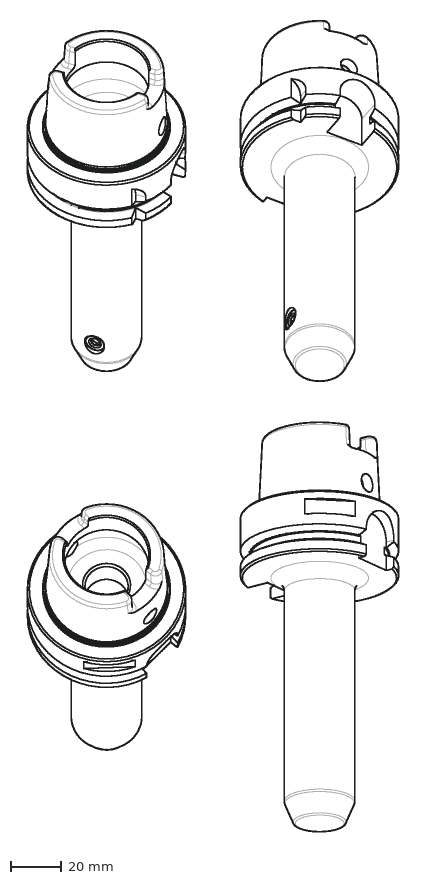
import cadquery as cq
import math


total_length = 162
shank_height = 32.0
stem_end = shank_height - total_length
flange_radius = 63.0 / 2

margin = 0.2

taper_base_radius = 24.3
taper_top_radius = 22.8
rim_round = 1.3
relief_radius = 24.0
relief_low = 0.3
relief_high = 2.1
relief_chamfer = 0.3
face_recess_radius = 25.5
face_recess_depth = 0.5

flange_thickness = 26
flange_chamfer = 0.8
groove_radius = 27.5
groove_wall_radius = 28.2
groove_top = -16.2
groove_bottom = -19.6
groove_bevel = 1.6
groove_fillet = 0.3

stem_radius = 14.1
stem_fillet = 5.3
nose_height = 8.9
nose_radius = 10.4
nose_blend = 2.5
nose_edge = 1.0

bore_radius = 16.8
bore_mouth_chamfer = 0.6
clamp_radius = 19.5
clamp_depth = 12.5
bore_depth = 28.5
bore_floor_radius = 15.7
center_hole_radius = 8.6
center_hole_chamfer = 1.0
center_hole_depth = 13
cross_hole_radius = 3.7
cross_hole_height = 9.0

drive_slot_width = 12.3
drive_slot_corner_round = 2.8
drive_slot_floor_fillet = 1.5
deep_slot_depth = 9.9
shallow_slot_depth = 6.0

left_slot_width = 18.1
left_slot_floor = 26.4
left_slot_apex = -4.7
right_slot_width = 15.9
right_slot_floor = 20.0
right_slot_apex = -4.0
corner_slot_wall = 20.1

patch_distance = 29.8
patch_height = 6.3
patch_center = -7.0
patch_angle = 135

screw_height = stem_end + 18.3
screw_hole_radius = 3.9
screw_sink_radius = 4.9
screw_face_depth = 1.1
socket_mouth_radius = 2.6
socket_flats = 3.4
socket_depth = 2.0


def turned_body():
    """Revolve the shank and flange outline together with the stem."""
    groove_edge_top = groove_top + groove_bevel
    groove_edge_bottom = groove_bottom - groove_bevel
    stem_top = -flange_thickness - stem_fillet
    fillet_offset = stem_fillet * (1 - math.sqrt(0.5))
    outline = (
        cq.Workplane("XZ")
        .moveTo(0, shank_height)
        .lineTo(taper_top_radius, shank_height)
        .lineTo(taper_base_radius, relief_high)
        .lineTo(relief_radius, relief_high - relief_chamfer)
        .lineTo(relief_radius, relief_low + relief_chamfer)
        .lineTo(taper_base_radius, relief_low)
        .lineTo(taper_base_radius, -face_recess_depth)
        .lineTo(face_recess_radius - face_recess_depth, -face_recess_depth)
        .lineTo(face_recess_radius, 0)
        .lineTo(flange_radius - flange_chamfer, 0)
        .lineTo(flange_radius, -flange_chamfer)
        .lineTo(flange_radius, groove_edge_top)
        .lineTo(groove_wall_radius, groove_top)
        .lineTo(groove_radius, groove_top)
        .lineTo(groove_radius, groove_bottom)
        .lineTo(groove_wall_radius, groove_bottom)
        .lineTo(flange_radius, groove_edge_bottom)
        .lineTo(flange_radius, -flange_thickness + flange_chamfer)
        .lineTo(flange_radius - flange_chamfer, -flange_thickness)
        .lineTo(stem_radius + stem_fillet, -flange_thickness)
        .threePointArc(
            (stem_radius + fillet_offset, -flange_thickness - fillet_offset),
            (stem_radius, stem_top),
        )
        .lineTo(stem_radius, stem_end + nose_height)
        .lineTo(nose_radius, stem_end)
        .lineTo(0, stem_end)
        .close()
    )
    body = outline.revolve(360, (0, 0, 0), (0, 1, 0))
    groove_corners = cq.selectors.BoxSelector(
        (-groove_radius - margin, -groove_radius - margin, groove_bottom - margin),
        (groove_radius + margin, groove_radius + margin, groove_top + margin),
    )
    body = body.edges(groove_corners).fillet(groove_fillet)
    body = body.faces("<Z").edges().fillet(nose_edge)
    nose_start = cq.selectors.BoxSelector(
        (-flange_radius, -flange_radius, stem_end + nose_height - margin),
        (flange_radius, flange_radius, stem_end + nose_height + margin),
    )
    return body.edges(nose_start).fillet(nose_blend)


def shank_bore():
    """Stepped bore with a wider clamping chamber and a blind center hole."""
    chamber_top = shank_height - clamp_depth
    floor = shank_height - bore_depth
    corner = clamp_radius - bore_floor_radius
    corner_offset = corner * (1 - math.sqrt(0.5))
    mouth_radius = bore_radius + bore_mouth_chamfer
    sink_radius = center_hole_radius + center_hole_chamfer
    return (
        cq.Workplane("XZ")
        .moveTo(0, shank_height)
        .lineTo(mouth_radius, shank_height)
        .lineTo(bore_radius, shank_height - bore_mouth_chamfer)
        .lineTo(bore_radius, chamber_top)
        .lineTo(clamp_radius, chamber_top)
        .lineTo(clamp_radius, floor + corner)
        .threePointArc(
            (clamp_radius - corner_offset, floor + corner_offset),
            (bore_floor_radius, floor),
        )
        .lineTo(sink_radius, floor)
        .lineTo(center_hole_radius, floor - center_hole_chamfer)
        .lineTo(center_hole_radius, floor - center_hole_depth)
        .lineTo(0, floor - center_hole_depth)
        .close()
        .revolve(360, (0, 0, 0), (0, 1, 0))
    )


def cross_hole():
    """Round hole through both walls of the shank along X."""
    return (
        cq.Workplane("YZ")
        .center(0, cross_hole_height)
        .circle(cross_hole_radius)
        .extrude(flange_radius, both=True)
    )


def add_drive_slot(body, side, depth):
    """Cut a rim slot on the +X (side 1) or -X (side -1) half and round its corners and floor."""
    half_width = drive_slot_width / 2
    floor = shank_height - depth
    slot = cq.Workplane("XY").box(flange_radius, drive_slot_width, depth, centered=(True, True, False))
    body = body.cut(slot.translate((side * flange_radius / 2, 0, floor)))

    outer_corners = cq.selectors.BoxSelector(
        (side * (taper_top_radius - drive_slot_corner_round), -half_width - margin, floor + margin),
        (side * flange_radius, half_width + margin, shank_height - margin),
    )
    body = body.edges(outer_corners).fillet(drive_slot_corner_round)

    floor_sides = cq.selectors.BoxSelector(
        (side * margin, -half_width - margin, floor - margin),
        (side * taper_top_radius, half_width + margin, floor + margin),
    )
    return body.edges(floor_sides).edges("|X").fillet(drive_slot_floor_fillet)


def flange_slot(width, floor, apex, center_y=0):
    """Round-topped slot in the +X side of the flange, open at the bottom."""
    half_width = width / 2
    arc_center = apex - half_width
    return (
        cq.Workplane("YZ", origin=(floor, center_y, 0))
        .moveTo(-half_width, -flange_thickness)
        .lineTo(-half_width, arc_center)
        .threePointArc((0, apex), (half_width, arc_center))
        .lineTo(half_width, -flange_thickness)
        .close()
        .extrude(flange_radius)
    )


def rim_patch():
    """Block that planes a rectangular flat on the flange rim."""
    block = cq.Workplane("XY").box(
        flange_radius, 2 * flange_radius, patch_height, centered=(False, True, True)
    )
    block = block.translate((patch_distance, 0, patch_center))
    return block.rotate((0, 0, 0), (0, 0, 1), patch_angle)


def screw_cut():
    """Countersunk hole in the -Y side of the stem, down to a hexagon socket screw."""
    face = stem_radius - screw_face_depth
    sink_depth = screw_sink_radius - screw_hole_radius
    socket_corner = socket_flats / math.sqrt(3)
    mouth_depth = socket_mouth_radius - socket_corner
    turned = (
        cq.Workplane("XY")
        .moveTo(0, -face + mouth_depth)
        .lineTo(socket_corner, -face + mouth_depth)
        .lineTo(socket_mouth_radius, -face)
        .lineTo(screw_hole_radius, -face)
        .lineTo(screw_hole_radius, -stem_radius + sink_depth)
        .lineTo(screw_sink_radius, -stem_radius)
        .lineTo(0, -stem_radius)
        .close()
        .revolve(360, (0, 0, 0), (0, 1, 0))
    )
    socket = (
        cq.Workplane("XZ", origin=(0, -face + socket_depth, 0))
        .transformed(rotate=(0, 0, 30))
        .polygon(6, 2 * socket_corner)
        .extrude(socket_depth)
    )
    return turned.union(socket).translate((0, 0, screw_height))


left_flange_slot = flange_slot(left_slot_width, left_slot_floor, left_slot_apex)
left_flange_slot = left_flange_slot.rotate((0, 0, 0), (0, 0, 1), 180)
corner_slot_center = -corner_slot_wall - right_slot_width / 2

shank_body = add_drive_slot(turned_body(), -1, deep_slot_depth)
shank_body = add_drive_slot(shank_body, 1, shallow_slot_depth)
shank_body = shank_body.faces(">Z").edges().fillet(rim_round)

result = (
    shank_body
    .cut(shank_bore())
    .cut(cross_hole())
    .cut(left_flange_slot)
    .cut(flange_slot(right_slot_width, right_slot_floor, right_slot_apex))
    .cut(flange_slot(right_slot_width, right_slot_floor, right_slot_apex, corner_slot_center))
    .cut(rim_patch())
    .cut(screw_cut())
)